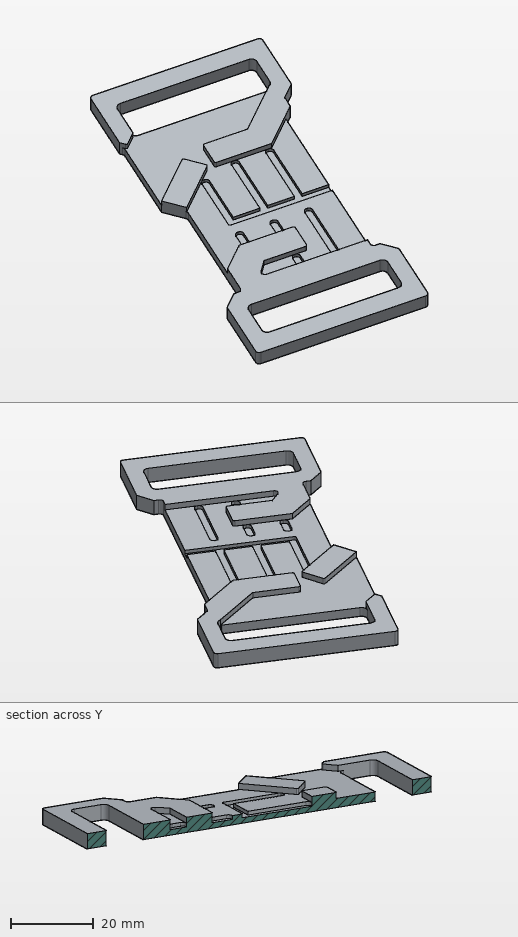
import cadquery as cq

base_height = 2.5
full_height = 4.0
groove_depth = 0.95

end_x = 47.5
frame_half_width = 23.0
frame_chamfer_x = 30.4
frame_neck_x = 27.0
frame_neck_y = frame_half_width - (frame_chamfer_x - frame_neck_x)
frame_corner_radius = 0.95
edge_radius = 0.4

window_inner_x = 32.0
window_outer_x = 42.2
window_middle_x = (window_inner_x + window_outer_x) / 2
window_half_width = 18.6
window_corner_radius = 1.4

plate_half_width = 17.4
wide_edge_y = -22.1
wide_end_x = -8.5
wide_start_x = -frame_chamfer_x + frame_half_width + wide_edge_y
wide_slope_x = wide_end_x - wide_edge_y - plate_half_width
neck_radius = 0.95
plate_radius = 0.95

block_width = 4.6
block_length = 10.6

left_hook_outer_x = -14.4
left_hook_inner_x = -21.3
left_hook_outer_y = 10.2
left_hook_inner_y = 6.9
left_hook_tip_y = -5.0
left_hook_root_x = left_hook_outer_x - (frame_neck_y - left_hook_outer_y)
left_hook_root_y = left_hook_inner_y + left_hook_inner_x + window_inner_x

shelf_x = 24.5
right_hook_left_x = 12.9
right_hook_right_x = 20.1
right_hook_top_y = 3.3
right_hook_slope_y = -11.5
right_hook_foot_x = right_hook_left_x + right_hook_slope_y + plate_half_width
notch_left_y = -8.3
notch_right_y = -11.5
notch_radius = 0.95
right_hook_radius = 0.5

groove_width = 2.1
groove_rows = (9.2, 0, -9.2)
groove_radius = 0.95
spine_radius = 0.5
spine_left_x = 2.6
spine_right_x = spine_left_x + groove_width
low_tooth_left_x = -11.8
right_groove_left_x = 7.5


def prism(points, height):
    """Extrude a closed outline upwards from the bottom plane."""
    return cq.Workplane("XY").polyline(points).close().extrude(height)


def round_corners(body, corners, radius):
    """Fillet the vertical edges that stand on the given XY corners."""
    reach = 0.05
    for x, y in corners:
        low = (x - reach, y - reach, -reach)
        high = (x + reach, y + reach, full_height + reach)
        body = body.edges("|Z").edges(cq.selectors.BoxSelector(low, high)).fillet(radius)
    return body


def make_base_plate():
    wide_start = (wide_start_x, wide_edge_y)
    wide_slope_end = (wide_slope_x, -plate_half_width)
    points = [
        (-window_middle_x, plate_half_width),
        (frame_neck_x, plate_half_width),
        (frame_neck_x, -plate_half_width),
        wide_slope_end,
        (wide_end_x, wide_edge_y),
        wide_start,
        (-frame_chamfer_x, -frame_half_width),
        (-window_middle_x, -frame_half_width),
    ]
    return round_corners(prism(points, base_height), [wide_start, wide_slope_end], plate_radius)


def make_window(side):
    """Rounded strap opening; side is -1 for the left frame, 1 for the right."""
    length = window_outer_x - window_inner_x
    opening = cq.Workplane("XY").center(side * window_middle_x, 0)
    opening = opening.rect(length, 2 * window_half_width).extrude(full_height)
    return opening.edges("|Z").fillet(window_corner_radius)


def make_left_frame():
    """Left frame with its hook; the base plate shows low along the window's inner side."""
    arm_tip_x = (frame_half_width - window_half_width - frame_chamfer_x - window_inner_x) / 2
    arm_tip_y = -window_half_width - window_inner_x - arm_tip_x
    arm_tip = (arm_tip_x, arm_tip_y)
    outer_corners = [(-end_x, frame_half_width), (-end_x, -frame_half_width)]
    hook_tip = [(left_hook_outer_x, left_hook_tip_y), (left_hook_inner_x, left_hook_tip_y)]
    hook_bend = (left_hook_inner_x, left_hook_inner_y)
    points = [
        outer_corners[0],
        (-frame_chamfer_x, frame_half_width),
        (-frame_neck_x, frame_neck_y),
        (left_hook_root_x, frame_neck_y),
        (left_hook_outer_x, left_hook_outer_y),
        *hook_tip,
        hook_bend,
        (-window_inner_x, left_hook_root_y),
        (-window_middle_x, left_hook_root_y),
        (-window_middle_x, -window_half_width),
        (-window_inner_x, -window_half_width),
        arm_tip,
        (-frame_chamfer_x, -frame_half_width),
        outer_corners[1],
    ]
    frame = round_corners(prism(points, full_height), outer_corners, frame_corner_radius)
    return round_corners(frame, [*hook_tip, hook_bend, arm_tip], edge_radius)


def make_right_frame():
    outer_corners = [(end_x, frame_half_width), (end_x, -frame_half_width)]
    necks = [(frame_neck_x, plate_half_width), (frame_neck_x, -plate_half_width)]
    hook_tip = [(right_hook_left_x, right_hook_top_y), (right_hook_right_x, right_hook_top_y)]
    notch_corner = (shelf_x, notch_right_y)
    points = [
        (shelf_x, plate_half_width),
        necks[0],
        (frame_neck_x, frame_neck_y),
        (frame_chamfer_x, frame_half_width),
        *outer_corners,
        (frame_chamfer_x, -frame_half_width),
        (frame_neck_x, -frame_neck_y),
        necks[1],
        (right_hook_foot_x, -plate_half_width),
        (right_hook_left_x, right_hook_slope_y),
        *hook_tip,
        (right_hook_right_x, notch_left_y),
        notch_corner,
    ]
    frame = round_corners(prism(points, full_height), outer_corners, frame_corner_radius)
    frame = round_corners(frame, necks, neck_radius)
    frame = round_corners(frame, hook_tip, right_hook_radius)
    return round_corners(frame, [notch_corner], notch_radius)


def make_slanted_block():
    near = (wide_end_x, wide_edge_y)
    far = (wide_end_x - block_length, wide_edge_y + block_length)
    points = [
        near,
        (near[0] + block_width, near[1] + block_width),
        (far[0] + block_width, far[1] + block_width),
        far,
    ]
    return round_corners(prism(points, full_height), points[2:], edge_radius)


def groove(x_min, x_max, y_min, y_max):
    """Square-cornered groove cutter, sunk into the top of the base plate."""
    centre = ((x_min + x_max) / 2, (y_min + y_max) / 2, base_height)
    cutter = cq.Workplane("XY", origin=centre)
    return cutter.rect(x_max - x_min, y_max - y_min).extrude(-groove_depth)


def row_groove(x_min, x_max, row_y):
    """Groove along X, centred on a row."""
    return groove(x_min, x_max, row_y - groove_width / 2, row_y + groove_width / 2)


def make_comb_grooves():
    """Upright spine open at the upper plate edge, with a tooth to the left on every row."""
    spine_bottom_y = groove_rows[-1] - groove_width / 2
    comb = groove(spine_left_x, spine_right_x, spine_bottom_y, plate_half_width)
    comb = round_corners(comb, [(spine_right_x, spine_bottom_y)], spine_radius)
    tooth_left_ends = (left_hook_outer_x, left_hook_outer_x, low_tooth_left_x)
    for left_x, row_y in zip(tooth_left_ends, groove_rows):
        tooth = row_groove(left_x, spine_left_x, row_y)
        comb = comb.union(tooth.edges("|Z and <X").fillet(groove_radius))
    return comb


def make_right_grooves():
    """Closed grooves that stop at the right hook and the right frame."""
    upper, middle, lower = groove_rows
    spans = [
        (right_groove_left_x, shelf_x, upper),
        (right_groove_left_x, right_hook_left_x, middle),
        (right_hook_right_x, shelf_x, middle),
        (right_groove_left_x, right_hook_left_x, lower),
    ]
    cutters = cq.Workplane("XY")
    for left_x, right_x, row_y in spans:
        cutter = row_groove(left_x, right_x, row_y)
        cutters = cutters.add(cutter.edges("|Z").fillet(groove_radius))
    return cutters.combine()


grooved_plate = make_base_plate().cut(make_comb_grooves()).cut(make_right_grooves())
result = grooved_plate.union(make_left_frame()).union(make_right_frame()).union(make_slanted_block())
for side in (-1, 1):
    result = result.cut(make_window(side))